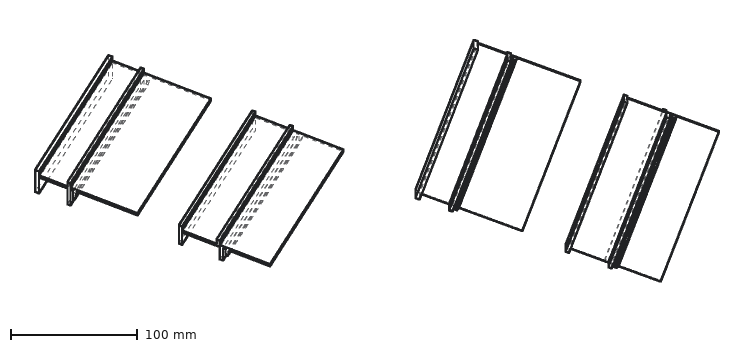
import cadquery as cq

TOTAL_WIDTH = 206.5
LENGTH = 130.0
LIP_HEIGHT = 5.0
PLATE_THICKNESS = 2.7
RIB_THICKNESS = 2.9
HOOK_GAP = 2.3
PLATE_UNDERSIDE = -LIP_HEIGHT - PLATE_THICKNESS

WIDE_WIDTH = 90.0
WIDE_HEIGHT = 27.5
WIDE_WALL = 3.5
WIDE_RIB_X = 28.3
WIDE_HOOK_ROOT = 3.0
WIDE_HOOK_TIP = 1.5
WIDE_HOOK_DEPTH = 18.0

NARROW_WIDTH = 80.1
NARROW_HEIGHT = 23.0
NARROW_WALL = RIB_THICKNESS
NARROW_UPPER_RIB_X = 33.0
NARROW_LOWER_RIB_X = NARROW_UPPER_RIB_X + RIB_THICKNESS
NARROW_HOOK_ROOT = 3.5
NARROW_HOOK_TIP = 1.9
NARROW_HOOK_DEPTH = 14.9


def extrusion(width, height, wall, upper_rib_x, lower_rib_x, hook_root, hook_tip, hook_depth):
    """Plate with an end wall, upper and lower ribs and a tapered hook, as one bar along Y."""
    hook_x = lower_rib_x + RIB_THICKNESS + HOOK_GAP
    outline = [
        (0, 0),
        (wall, 0),
        (wall, -LIP_HEIGHT),
        (upper_rib_x, -LIP_HEIGHT),
        (upper_rib_x, 0),
        (upper_rib_x + RIB_THICKNESS, 0),
        (upper_rib_x + RIB_THICKNESS, -LIP_HEIGHT),
        (width, -LIP_HEIGHT),
        (width, PLATE_UNDERSIDE),
        (hook_x + hook_root, PLATE_UNDERSIDE),
        (hook_x + hook_tip, -hook_depth),
        (hook_x, -hook_depth),
        (hook_x, PLATE_UNDERSIDE),
        (lower_rib_x + RIB_THICKNESS, PLATE_UNDERSIDE),
        (lower_rib_x + RIB_THICKNESS, -height),
        (lower_rib_x, -height),
        (lower_rib_x, PLATE_UNDERSIDE),
        (wall, PLATE_UNDERSIDE),
        (wall, -height),
        (0, -height),
    ]
    return cq.Workplane("XZ").polyline(outline).close().extrude(LENGTH)


wide_profile = extrusion(
    WIDE_WIDTH,
    WIDE_HEIGHT,
    WIDE_WALL,
    WIDE_RIB_X,
    WIDE_RIB_X,
    WIDE_HOOK_ROOT,
    WIDE_HOOK_TIP,
    WIDE_HOOK_DEPTH,
)

narrow_profile = extrusion(
    NARROW_WIDTH,
    NARROW_HEIGHT,
    NARROW_WALL,
    NARROW_UPPER_RIB_X,
    NARROW_LOWER_RIB_X,
    NARROW_HOOK_ROOT,
    NARROW_HOOK_TIP,
    NARROW_HOOK_DEPTH,
).translate((TOTAL_WIDTH - NARROW_WIDTH, 0, 0))

result = cq.Compound.makeCompound([wide_profile.val(), narrow_profile.val()])